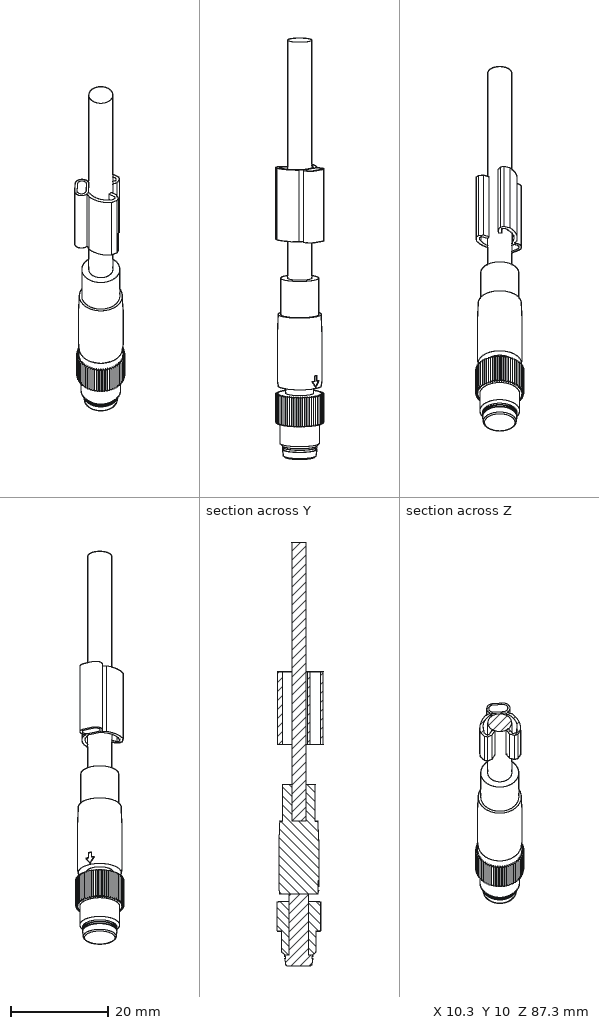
import cadquery as cq
import math

TOTAL_LENGTH = 87.3
NUT_BOTTOM = 2.4
THREAD_TOP = 7.2
NUT_TOP = 13.4
HOUSING_BOTTOM = 14.8
GRIP_BOTTOM = 15.9
GRIP_TOP = 25.6
SHOULDER = 29.9
HOUSING_TOP = 37.45
CLIP_BOTTOM = 45.7
CLIP_TOP = 60.7

CABLE_DIAMETER = 5.0
CABLE_RADIUS = CABLE_DIAMETER / 2
SLEEVE_RADIUS = 3.9
GRIP_RADIUS = 4.6
GRIP_END_RADIUS = 4.45

CORE_RADIUS = 2.9
NOSE_RADIUS = 3.6
NOSE_SKIRT_RADIUS = 3.4
NOSE_CHAMFER = 0.3
GROOVE_BOTTOM = 1.6
GROOVE_TOP = 2.0

THREAD_RADIUS = 4.1
THREAD_CHAMFER = 0.5
KNURL_RADIUS = 5.0
KNURL_DEPTH = 0.4
KNURL_TEETH = 60
KNURL_TOP_CHAMFER_WIDTH = 0.5
KNURL_TOP_CHAMFER_HEIGHT = 0.2
KNURL_BOTTOM_CHAMFER = 0.2

ARROW_ANGLE = 210.0
ARROW_DEPTH = 0.2
ARROW_STEM_WIDTH = 0.7
ARROW_HEAD_WIDTH = 1.9
ARROW_HEAD_HEIGHT = 1.3
ARROW_TIP = 15.1
ARROW_TOP = 17.55

CLIP_ANGLE = 30.0
CLIP_HEIGHT = CLIP_TOP - CLIP_BOTTOM
HOLDER_OFFSET = 3.9
HOLDER_WIDTH = 4.9
HOLDER_DEPTH = 2.9
HOLDER_WALL = 0.5

ARM_WALL = 0.7
ARM_ROOT_X = -2.1
NECK = (-1.05, -3.2)
ARM_START = (-0.6, -3.5)
ARM_BOW = (1.6, -3.6)
ARM_END = (3.7, -2.8)
HOOK_LOWER_CORNER = (4.2, -2.45)
HOOK_UPPER_CORNER = (4.8, -1.2)
HOOK_SHOULDER = (4.6, -0.5)
LIP_START = (3.75, 0.1)
HOOK_INNER_TOP = (3.8, LIP_START[1] - ARM_WALL)
HOOK_INNER_SIDE = (4.0, -1.3)
HOOK_INNER_BOTTOM = (3.4, -1.9)


def revolve_profile(points):
    """Turn a closed (radius, height) outline about the Z axis."""
    return cq.Workplane("XZ").polyline(points).close().revolve(360, (0, 0), (0, 1))


def make_cable():
    return cq.Workplane("XY").workplane(offset=SHOULDER).circle(CABLE_RADIUS).extrude(TOTAL_LENGTH - SHOULDER)


def make_arrow():
    """Prism of the arrow outline, running outward from the floor of the recess."""
    neck = ARROW_TIP + ARROW_HEAD_HEIGHT
    half_stem = ARROW_STEM_WIDTH / 2
    half_head = ARROW_HEAD_WIDTH / 2
    outline = [
        (0, ARROW_TIP),
        (half_head, neck),
        (half_stem, neck),
        (half_stem, ARROW_TOP),
        (-half_stem, ARROW_TOP),
        (-half_stem, neck),
        (-half_head, neck),
    ]
    floor = GRIP_RADIUS - ARROW_DEPTH
    arrow = cq.Workplane("YZ").polyline(outline).close().extrude(2 * GRIP_RADIUS)
    core = cq.Workplane("XY").circle(floor).extrude(HOUSING_TOP)
    return arrow.cut(core).rotate((0, 0, 0), (0, 0, 1), ARROW_ANGLE)


def make_housing():
    """Grip with a tapered shoulder; the cable sits in the bore of its upper sleeve."""
    body = revolve_profile([
        (0, HOUSING_BOTTOM),
        (GRIP_END_RADIUS, HOUSING_BOTTOM),
        (GRIP_RADIUS, GRIP_BOTTOM),
        (GRIP_RADIUS, GRIP_TOP),
        (GRIP_END_RADIUS, SHOULDER),
        (SLEEVE_RADIUS, SHOULDER),
        (SLEEVE_RADIUS, HOUSING_TOP),
        (CABLE_RADIUS, HOUSING_TOP),
        (CABLE_RADIUS, SHOULDER),
        (0, SHOULDER),
    ])
    return body.cut(make_arrow())


def make_insert():
    """Nose with a ring groove, and the core that runs through the nut to the housing."""
    return revolve_profile([
        (0, 0),
        (NOSE_SKIRT_RADIUS - NOSE_CHAMFER, 0),
        (NOSE_SKIRT_RADIUS, NOSE_CHAMFER),
        (NOSE_RADIUS, GROOVE_BOTTOM),
        (NOSE_SKIRT_RADIUS, GROOVE_BOTTOM),
        (NOSE_SKIRT_RADIUS, GROOVE_TOP),
        (NOSE_RADIUS, GROOVE_TOP),
        (NOSE_RADIUS, NUT_BOTTOM),
        (CORE_RADIUS, NUT_BOTTOM),
        (CORE_RADIUS, HOUSING_BOTTOM),
        (0, HOUSING_BOTTOM),
    ])


def make_knurl():
    """Ring of V teeth with chamfered ends."""
    points = []
    for i in range(2 * KNURL_TEETH):
        radius = KNURL_RADIUS - KNURL_DEPTH * (i % 2)
        angle = math.pi * i / KNURL_TEETH
        points.append((radius * math.cos(angle), radius * math.sin(angle)))
    height = NUT_TOP - THREAD_TOP
    teeth = cq.Workplane("XY").workplane(offset=THREAD_TOP).polyline(points).close().extrude(height)
    envelope = (
        cq.Workplane("XY").workplane(offset=THREAD_TOP).circle(KNURL_RADIUS).extrude(height)
        .faces(">Z").edges().chamfer(KNURL_TOP_CHAMFER_HEIGHT, KNURL_TOP_CHAMFER_WIDTH)
        .faces("<Z").chamfer(KNURL_BOTTOM_CHAMFER)
    )
    return teeth.intersect(envelope)


def make_nut():
    """Knurled head and plain thread stub, bored for the insert."""
    thread = (
        cq.Workplane("XY").workplane(offset=NUT_BOTTOM).circle(THREAD_RADIUS).extrude(THREAD_TOP - NUT_BOTTOM)
        .faces("<Z").chamfer(THREAD_CHAMFER)
    )
    bore = cq.Workplane("XY").circle(CORE_RADIUS).extrude(NUT_TOP)
    return make_knurl().union(thread).cut(bore)


def make_clip_arm():
    """One spring arm: a bowed wall that hooks back to a lip resting on the cable."""
    return (
        cq.Workplane("XY").workplane(offset=CLIP_BOTTOM)
        .moveTo(*NECK)
        .lineTo(*ARM_START)
        .threePointArc(ARM_BOW, ARM_END)
        .lineTo(*HOOK_LOWER_CORNER)
        .lineTo(*HOOK_UPPER_CORNER)
        .lineTo(*HOOK_SHOULDER)
        .lineTo(*LIP_START)
        .lineTo(0, LIP_START[1])
        .lineTo(0, HOOK_INNER_TOP[1])
        .lineTo(*HOOK_INNER_TOP)
        .threePointArc(HOOK_INNER_SIDE, HOOK_INNER_BOTTOM)
        .threePointArc((ARM_BOW[0], ARM_BOW[1] + ARM_WALL), (NECK[0], NECK[1] + ARM_WALL))
        .lineTo(ARM_ROOT_X, NECK[1] + ARM_WALL)
        .close()
        .extrude(CLIP_HEIGHT)
    )


def make_round_ended_block(width, depth):
    """Upright block with semicircular ends, centred on the label holder."""
    return (
        cq.Workplane("XY").workplane(offset=CLIP_BOTTOM)
        .center(-HOLDER_OFFSET, 0)
        .slot2D(width, depth, 90)
        .extrude(CLIP_HEIGHT)
        .rotate((0, 0, 0), (0, 0, 1), CLIP_ANGLE)
    )


def make_clip():
    arm = make_clip_arm()
    mirrored_arm = (
        arm.rotate((0, 0, 0), (0, 0, 1), -CLIP_ANGLE)
        .mirror("XZ")
        .rotate((0, 0, 0), (0, 0, 1), CLIP_ANGLE)
    )
    holder = make_round_ended_block(HOLDER_WIDTH, HOLDER_DEPTH)
    pocket = make_round_ended_block(HOLDER_WIDTH - 2 * HOLDER_WALL, HOLDER_DEPTH - 2 * HOLDER_WALL)
    cable_space = cq.Workplane("XY").circle(CABLE_RADIUS).extrude(TOTAL_LENGTH)
    return holder.union(arm).union(mirrored_arm).cut(pocket).cut(cable_space)


cable = make_cable()
housing = make_housing()
insert = make_insert()
nut = make_nut()
clip = make_clip()

result = cq.Compound.makeCompound([cable.val(), housing.val(), insert.val(), nut.val(), *clip.vals()])